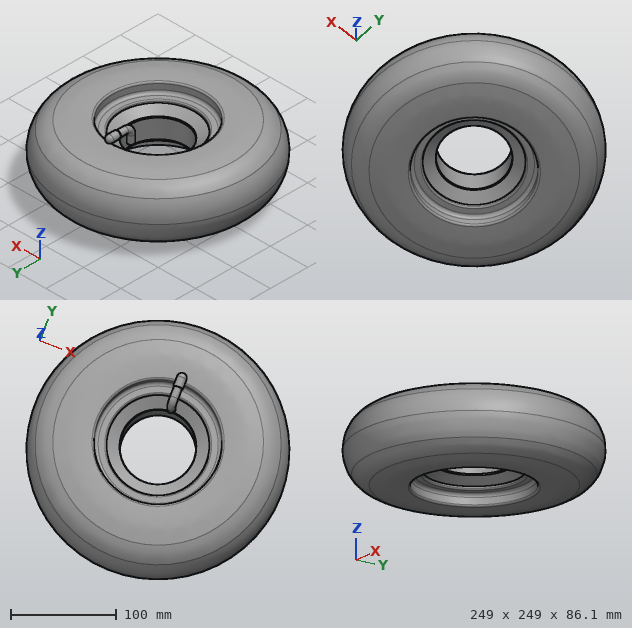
import cadquery as cq
import math

outer_radius = 124.5
shoulder_radius = 116.3
shoulder_height = 24.0
sidewall_radius = 99.5
sidewall_height = 34.5
recess_radius = 121.0 / 2
recess_lip_round = 2.0
recess_rim_height = 36.9
recess_floor_height = 24.0
recess_floor_fillet = 3.7
throat_radius = 98.0 / 2
throat_round = 1.5
cone_top_radius = 48.5
cone_top_height = 20.7
bore_radius = 72.0 / 2
bore_chamfer = 0.5
bore_chamfer_height = 1.5
cone_bottom_height = 13.7

pipe_radius = 8.2 / 2
cap_radius = 9.7 / 2
stem_top = 48.8
stem_bottom = 26.1
stem_y = 36.0
bend_radius = 7.5
cap_start_y = 54.0
cap_end_y = 69.0
stem_axis_height = stem_top - cap_radius


def quarter_round(outline, start, end, centre):
    """Add a quarter circle from start to end about centre."""
    radius = math.dist(start, centre)
    chord_middle = ((start[0] + end[0]) / 2, (start[1] + end[1]) / 2)
    reach = radius / math.dist(chord_middle, centre)
    middle = tuple(c + (m - c) * reach for c, m in zip(centre, chord_middle))
    return outline.threePointArc(middle, end)


def make_wheel():
    """Revolve the upper half of the section, mirror it and cut the bore."""
    lip_outer = (recess_radius + recess_lip_round, recess_rim_height)
    lip_inner = (recess_radius, recess_rim_height - recess_lip_round)
    lip_centre = (lip_outer[0], lip_inner[1])
    wall_bottom = (recess_radius, recess_floor_height + recess_floor_fillet)
    floor_outer = (recess_radius - recess_floor_fillet, recess_floor_height)
    floor_centre = (floor_outer[0], wall_bottom[1])
    floor_inner = (throat_radius + throat_round, recess_floor_height)
    throat_top = (throat_radius, recess_floor_height - throat_round)
    throat_centre = (floor_inner[0], throat_top[1])

    bore_top_height = cone_bottom_height - bore_chamfer_height

    tread_depth = outer_radius - shoulder_radius
    tread_arc_radius = (tread_depth**2 + shoulder_height**2) / (2 * tread_depth)
    half_angle = math.asin(shoulder_height / tread_arc_radius) / 2
    tread_middle = (
        outer_radius - tread_arc_radius * (1 - math.cos(half_angle)),
        tread_arc_radius * math.sin(half_angle),
    )

    outline = (
        cq.Workplane("XZ")
        .moveTo(0, 0)
        .lineTo(outer_radius, 0)
    )
    outline = (
        outline
        .threePointArc(tread_middle, (shoulder_radius, shoulder_height))
        .tangentArcPoint((sidewall_radius, sidewall_height), relative=False)
        .tangentArcPoint(lip_outer, relative=False)
    )
    outline = quarter_round(outline, lip_outer, lip_inner, lip_centre)
    outline = outline.lineTo(*wall_bottom)
    outline = quarter_round(outline, wall_bottom, floor_outer, floor_centre)
    outline = outline.lineTo(*floor_inner)
    outline = quarter_round(outline, floor_inner, throat_top, throat_centre)
    outline = (
        outline
        .lineTo(cone_top_radius, cone_top_height)
        .lineTo(bore_radius + bore_chamfer, cone_bottom_height)
        .lineTo(bore_radius, bore_top_height)
        .lineTo(0, bore_top_height)
        .close()
    )
    upper_half = outline.revolve(360, (0, 0, 0), (0, 1, 0))
    closed_wheel = upper_half.union(upper_half.mirror("XY"))
    bore = cq.Workplane("XY").cylinder(2 * bore_top_height, bore_radius)
    return closed_wheel.cut(bore)


def make_valve_stem():
    """Sweep the bent pipe and join the domed cap to its outer end."""
    bend_start_height = stem_axis_height - bend_radius
    bend_end_y = stem_y + bend_radius
    bend_offset = bend_radius * math.sqrt(0.5)
    path = (
        cq.Workplane("YZ")
        .moveTo(stem_y, stem_bottom)
        .lineTo(stem_y, bend_start_height)
        .threePointArc(
            (bend_end_y - bend_offset, bend_start_height + bend_offset),
            (bend_end_y, stem_axis_height),
        )
        .lineTo(cap_start_y, stem_axis_height)
    )
    pipe = (
        cq.Workplane("XY", origin=(0, stem_y, stem_bottom))
        .circle(pipe_radius)
        .sweep(path)
    )
    cap = (
        cq.Workplane("XZ", origin=(0, cap_start_y, stem_axis_height))
        .circle(cap_radius)
        .extrude(-(cap_end_y - cap_radius - cap_start_y))
    )
    dome = (
        cq.Workplane("XY", origin=(0, cap_end_y - cap_radius, stem_axis_height))
        .sphere(cap_radius)
    )
    return pipe.union(cap).union(dome)


wheel = make_wheel()
valve_stem = make_valve_stem()

result = cq.Compound.makeCompound([wheel.val(), valve_stem.val()])